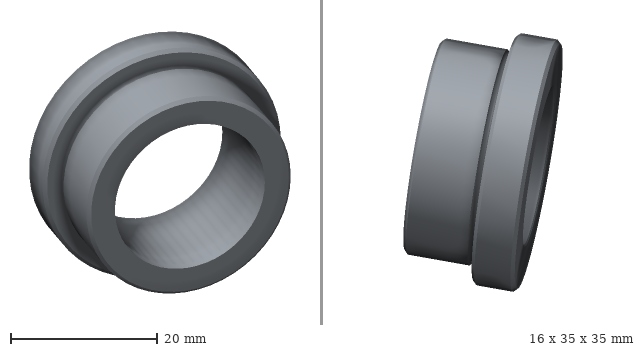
import cadquery as cq

total_length = 16.0
flange_length = 6.0
flange_radius = 35.0 / 2
sleeve_radius = 30.0 / 2
bore_radius = 22.0 / 2

outer_chamfer = 0.5
bore_chamfer = 0.2
groove_radius = 0.5


def make_body():
    """Revolve the outer outline and the bore about the X axis."""
    groove_end = flange_length + 2 * groove_radius
    groove_middle = flange_length + groove_radius
    outline = (
        cq.Workplane("XY")
        .moveTo(0, bore_radius + bore_chamfer)
        .lineTo(0, flange_radius - outer_chamfer)
        .lineTo(outer_chamfer, flange_radius)
        .lineTo(flange_length - outer_chamfer, flange_radius)
        .lineTo(flange_length, flange_radius - outer_chamfer)
        .lineTo(flange_length, sleeve_radius)
        .threePointArc((groove_middle, sleeve_radius - groove_radius), (groove_end, sleeve_radius))
        .lineTo(total_length - outer_chamfer, sleeve_radius)
        .lineTo(total_length, sleeve_radius - outer_chamfer)
        .lineTo(total_length, bore_radius)
        .lineTo(bore_chamfer, bore_radius)
        .close()
    )
    return outline.revolve(360, (0, 0, 0), (1, 0, 0))


result = make_body()